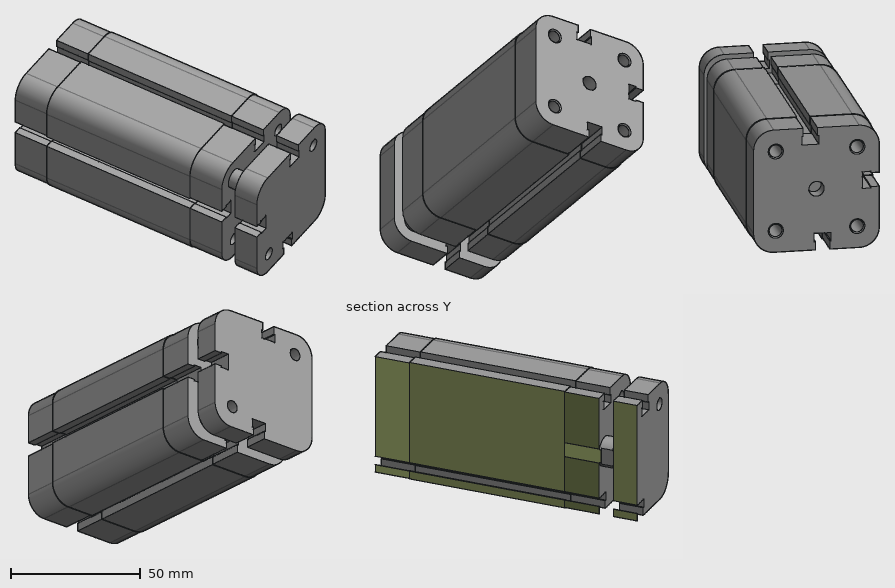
import cadquery as cq

TOTAL_LENGTH = 110.5
CAP_LENGTH = 14.5
PLATE_THICKNESS = 10.1
PLATE_GAP = 6.0

plate_start = TOTAL_LENGTH - PLATE_THICKNESS
front_cap_end = plate_start - PLATE_GAP
front_cap_start = front_cap_end - CAP_LENGTH
barrel_length = front_cap_start - CAP_LENGTH

BARREL_WIDTH = 50.0
BARREL_CORNER_RADIUS = 8.2
CAP_INSET = 0.25

SLOT_OFFSET = 2.4
SLOT_MOUTH_WIDTH = 5.1
SLOT_BASE_WIDTH = 6.2
SLOT_FLOOR = 18.0
SLOT_SHOULDER = 21.4
SLOT_ANGLES = (0, 90, 180)

GUIDE_ROD_DIAMETER = 8.0
PISTON_ROD_DIAMETER = 12.0
PISTON_ROD_CHAMFER = 0.4
FLAT_WIDTH = 10.0
FLAT_START = 0.9
FLAT_RUNOUT = 0.4

CORNER_OFFSET = 16.0
SCREW_HOLE_DIAMETER = 5.0
SCREW_HOLE_MOUTH = 6.0
CENTRE_HOLE_DIAMETER = 6.0
CENTRE_HOLE_DEPTH = 6.0

AXIS = [(0, 0)]
SCREW_CORNERS = [(CORNER_OFFSET, CORNER_OFFSET), (-CORNER_OFFSET, -CORNER_OFFSET)]
GUIDE_CORNERS = [(-CORNER_OFFSET, CORNER_OFFSET), (CORNER_OFFSET, -CORNER_OFFSET)]


def section_at(x):
    """Workplane across the long axis: local x is Y, local y is Z, extrusions run toward +X."""
    return cq.Workplane("YZ", origin=(x, 0, 0))


def cylinders(start, length, diameter, centres):
    return section_at(start).pushPoints(centres).circle(diameter / 2).extrude(length)


def slot(start, length, clearance):
    """Stepped slot in the +Z side, each flank moved outward by the clearance."""
    half_mouth = SLOT_MOUTH_WIDTH / 2 + clearance
    half_base = SLOT_BASE_WIDTH / 2 + clearance
    return (
        section_at(start)
        .moveTo(SLOT_OFFSET - half_base, SLOT_FLOOR)
        .lineTo(SLOT_OFFSET + half_base, SLOT_FLOOR)
        .lineTo(SLOT_OFFSET + half_base, SLOT_SHOULDER)
        .lineTo(SLOT_OFFSET + half_mouth, SLOT_SHOULDER)
        .lineTo(SLOT_OFFSET + half_mouth, BARREL_WIDTH)
        .lineTo(SLOT_OFFSET - half_mouth, BARREL_WIDTH)
        .lineTo(SLOT_OFFSET - half_mouth, SLOT_SHOULDER)
        .lineTo(SLOT_OFFSET - half_base, SLOT_SHOULDER)
        .close()
        .extrude(length)
    )


def slotted_block(start, length, inset):
    """Round-cornered square block with three slots; its sides and slot flanks are inset."""
    width = BARREL_WIDTH - 2 * inset
    block = section_at(start).rect(width, width).extrude(length)
    block = block.edges("|X").fillet(BARREL_CORNER_RADIUS - inset)
    for angle in SLOT_ANGLES:
        block = block.cut(slot(start, length, inset).rotate((0, 0, 0), (1, 0, 0), angle))
    return block


def make_rear_cap():
    countersink = (SCREW_HOLE_MOUTH - SCREW_HOLE_DIAMETER) / 2
    cap = slotted_block(0, CAP_LENGTH, CAP_INSET)
    cap = cap.cut(cylinders(0, CENTRE_HOLE_DEPTH, CENTRE_HOLE_DIAMETER, AXIS))
    for y, z in SCREW_CORNERS + GUIDE_CORNERS:
        hole = cylinders(0, CAP_LENGTH, SCREW_HOLE_DIAMETER, [(y, z)])
        cone = (
            section_at(0).center(y, z).circle(SCREW_HOLE_MOUTH / 2)
            .workplane(offset=countersink).circle(SCREW_HOLE_DIAMETER / 2).loft()
        )
        cap = cap.cut(hole).cut(cone)
    return cap


def make_barrel():
    barrel = slotted_block(CAP_LENGTH, barrel_length, 0)
    return barrel.cut(cylinders(CAP_LENGTH, barrel_length, SCREW_HOLE_DIAMETER, SCREW_CORNERS))


def make_front_cap():
    cap = slotted_block(front_cap_start, CAP_LENGTH, CAP_INSET)
    cap = cap.cut(cylinders(front_cap_start, CAP_LENGTH, SCREW_HOLE_DIAMETER, SCREW_CORNERS))
    cap = cap.cut(cylinders(front_cap_start, CAP_LENGTH, GUIDE_ROD_DIAMETER, GUIDE_CORNERS))
    return cap.cut(cylinders(front_cap_start, CAP_LENGTH, PISTON_ROD_DIAMETER, AXIS))


def make_piston_rod():
    """Rod that ends against the guide plate, with two sloped-in flats facing -Y and +Y."""
    radius = PISTON_ROD_DIAMETER / 2
    flat_edge = front_cap_end + FLAT_START
    rod = cylinders(front_cap_start, plate_start - front_cap_start, PISTON_ROD_DIAMETER, AXIS)
    rod = rod.faces(">X").chamfer(PISTON_ROD_CHAMFER)
    flat_cut = (
        cq.Workplane("XY")
        .moveTo(flat_edge - FLAT_RUNOUT, radius)
        .lineTo(flat_edge, FLAT_WIDTH / 2)
        .lineTo(plate_start, FLAT_WIDTH / 2)
        .lineTo(plate_start, radius)
        .close()
        .extrude(radius, both=True)
    )
    return rod.cut(flat_cut).cut(flat_cut.mirror("XZ"))


def make_guide_plate():
    """Plate with its two guide rods, which slide in the front cap."""
    plate = slotted_block(plate_start, PLATE_THICKNESS, CAP_INSET)
    plate = plate.cut(cylinders(plate_start, PLATE_THICKNESS, SCREW_HOLE_DIAMETER, SCREW_CORNERS))
    rod_length = plate_start - front_cap_start
    return plate.union(cylinders(front_cap_start, rod_length, GUIDE_ROD_DIAMETER, GUIDE_CORNERS))


rear_cap = make_rear_cap()
barrel = make_barrel()
front_cap = make_front_cap()
piston_rod = make_piston_rod()
guide_plate = make_guide_plate()

result = cq.Compound.makeCompound([
    rear_cap.solids().val(),
    barrel.solids().val(),
    front_cap.solids().val(),
    piston_rod.solids().val(),
    guide_plate.solids().val(),
])